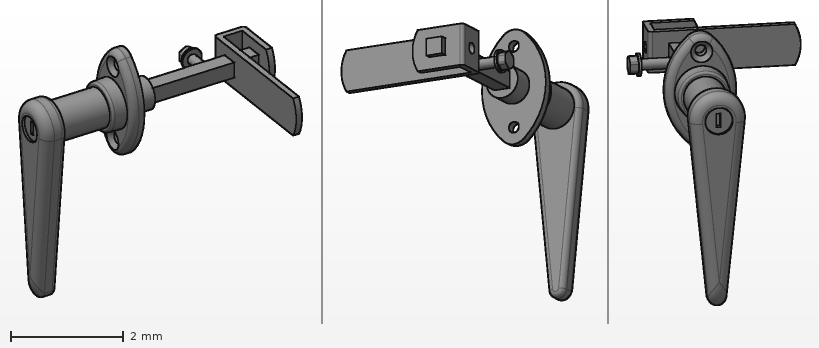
import cadquery as cq
import math


SPINDLE_SIDE = 0.3125
SPINDLE_END_Y = 2.953
SLEEVE_RADIUS = 0.316
SLEEVE_LENGTH = 0.4325

PLATE_THICKNESS = 0.2625
PLATE_EDGE_FILLET = 0.14
PLATE_HALF_WIDTH = 0.648
SCREW_HOLE_OFFSET = 0.75
PLATE_END_RADIUS = 0.3125
SCREW_HOLE_DIAMETER = 0.2
COUNTERSINK_DIAMETER = 0.39
COUNTERSINK_ANGLE = 90

COLLAR_BASE_RADIUS = 0.488
COLLAR_TIP_RADIUS = 0.472
COLLAR_LENGTH = 0.3
COLLAR_FILLET = 0.05
NECK_RADIUS = 0.3825

HANDLE_BACK_Y = -1.54
HANDLE_FRONT_Y = -2.008
HANDLE_DEPTH = HANDLE_BACK_Y - HANDLE_FRONT_Y
HUB_RADIUS = 0.503
TIP_RADIUS = 0.167
TIP_BOTTOM_Z = -3.4975
HANDLE_BACK_FILLET = 0.105
HANDLE_FRONT_FILLET = 0.2
LOCK_RECESS_RADIUS = 0.247
LOCK_RECESS_DEPTH = 0.05
KEY_SLOT_WIDTH = 0.08
KEY_SLOT_HEIGHT = 0.25
KEY_SLOT_DEPTH = 0.1

BRACKET_FRONT_Y = 2.19
BRACKET_SPAN = 0.643
BRACKET_THICKNESS = 0.125
BRACKET_HEIGHT = 0.765
BRACKET_WEB_X = -0.52
LONG_LEG_END_X = 2.234
SHORT_LEG_END_X = 0.506
LEG_END_RADIUS = 0.75
BEND_RADIUS = 0.07
WEB_HOLE_DIAMETER = 0.2

BOLT_Y = 1.872
BOLT_Z = -0.112
BOLT_HEAD_X = -0.936
BOLT_HEAD_LENGTH = 0.153
BOLT_FLANGE_LENGTH = 0.048
BOLT_FLANGE_RADIUS = 0.204
BOLT_SHANK_RADIUS = 0.1
HEX_ACROSS_FLATS = 0.304
HEX_CORNER_RADIUS = 0.05


def facing_front(y):
    """Plane across the lock axis at y: local x is X, local y is Z, extrusion goes towards -Y."""
    return cq.Workplane("XZ", origin=(0, y, 0))


def facing_right(x):
    """Plane across the bolt axis at x: local x is Y, local y is Z, extrusion goes towards +X."""
    return cq.Workplane("YZ", origin=(x, 0, 0))


def make_plate():
    inset = PLATE_HALF_WIDTH - PLATE_END_RADIUS
    centre_shift = (SCREW_HOLE_OFFSET**2 - inset**2) / (2 * inset)
    side_radius = PLATE_HALF_WIDTH + centre_shift
    reach = side_radius - PLATE_END_RADIUS
    tangent_x = PLATE_END_RADIUS * centre_shift / reach
    tangent_z = SCREW_HOLE_OFFSET + PLATE_END_RADIUS * SCREW_HOLE_OFFSET / reach
    end_z = SCREW_HOLE_OFFSET + PLATE_END_RADIUS
    plate = (
        facing_front(0)
        .moveTo(tangent_x, tangent_z)
        .threePointArc((0, end_z), (-tangent_x, tangent_z))
        .threePointArc((-PLATE_HALF_WIDTH, 0), (-tangent_x, -tangent_z))
        .threePointArc((0, -end_z), (tangent_x, -tangent_z))
        .threePointArc((PLATE_HALF_WIDTH, 0), (tangent_x, tangent_z))
        .close()
        .extrude(PLATE_THICKNESS)
        .faces("<Y")
        .edges()
        .fillet(PLATE_EDGE_FILLET)
    )
    return (
        plate.cut(countersunk_hole(SCREW_HOLE_OFFSET))
        .cut(countersunk_hole(-SCREW_HOLE_OFFSET))
    )


def countersunk_hole(z):
    hole_radius = SCREW_HOLE_DIAMETER / 2
    sink_radius = COUNTERSINK_DIAMETER / 2
    sink_depth = (sink_radius - hole_radius) / math.tan(math.radians(COUNTERSINK_ANGLE / 2))
    return (
        cq.Workplane("XY", origin=(0, 0, z))
        .polyline([
            (0, 0),
            (hole_radius, 0),
            (hole_radius, sink_depth - PLATE_THICKNESS),
            (sink_radius, -PLATE_THICKNESS),
            (0, -PLATE_THICKNESS),
        ])
        .close()
        .revolve(360, (0, 0), (0, 1))
    )


def make_collar():
    front_y = -PLATE_THICKNESS - COLLAR_LENGTH
    return (
        cq.Workplane("XY")
        .polyline([
            (0, -PLATE_THICKNESS),
            (COLLAR_BASE_RADIUS, -PLATE_THICKNESS),
            (COLLAR_TIP_RADIUS, front_y),
            (0, front_y),
        ])
        .close()
        .revolve(360, (0, 0), (0, 1))
        .faces("<Y")
        .edges()
        .fillet(COLLAR_FILLET)
    )


def make_handle():
    tip_z = TIP_BOTTOM_Z + TIP_RADIUS
    lean = math.asin((HUB_RADIUS - TIP_RADIUS) / -tip_z)
    across = math.cos(lean)
    down = math.sin(lean)
    handle = (
        facing_front(HANDLE_BACK_Y)
        .moveTo(HUB_RADIUS * across, -HUB_RADIUS * down)
        .threePointArc((0, HUB_RADIUS), (-HUB_RADIUS * across, -HUB_RADIUS * down))
        .lineTo(-TIP_RADIUS * across, tip_z - TIP_RADIUS * down)
        .threePointArc((0, TIP_BOTTOM_Z), (TIP_RADIUS * across, tip_z - TIP_RADIUS * down))
        .close()
        .extrude(HANDLE_DEPTH)
        .faces(">Y")
        .edges()
        .fillet(HANDLE_BACK_FILLET)
        .faces("<Y")
        .edges()
        .fillet(HANDLE_FRONT_FILLET)
    )
    recess_floor_y = HANDLE_FRONT_Y + LOCK_RECESS_DEPTH
    recess = facing_front(recess_floor_y).circle(LOCK_RECESS_RADIUS).extrude(LOCK_RECESS_DEPTH)
    key_slot = (
        facing_front(recess_floor_y + KEY_SLOT_DEPTH)
        .rect(KEY_SLOT_WIDTH, KEY_SLOT_HEIGHT)
        .extrude(KEY_SLOT_DEPTH)
    )
    return handle.cut(recess).cut(key_slot)


def make_lock():
    spindle = (
        facing_front(SPINDLE_END_Y)
        .rect(SPINDLE_SIDE, SPINDLE_SIDE)
        .extrude(SPINDLE_END_Y)
    )
    sleeve = facing_front(SLEEVE_LENGTH).circle(SLEEVE_RADIUS).extrude(SLEEVE_LENGTH)
    neck = (
        facing_front(-PLATE_THICKNESS)
        .circle(NECK_RADIUS)
        .extrude(-PLATE_THICKNESS - HANDLE_BACK_Y)
    )
    return (
        make_plate()
        .union(sleeve)
        .union(spindle)
        .union(make_collar())
        .union(neck)
        .union(make_handle())
    )


def bracket_leg(front_y, end_x):
    """Flat leg from the web to a convex arc end that peaks at end_x."""
    half_height = BRACKET_HEIGHT / 2
    bulge = LEG_END_RADIUS - math.sqrt(LEG_END_RADIUS**2 - half_height**2)
    return (
        facing_front(front_y + BRACKET_THICKNESS)
        .moveTo(BRACKET_WEB_X, -half_height)
        .lineTo(end_x - bulge, -half_height)
        .threePointArc((end_x, 0), (end_x - bulge, half_height))
        .lineTo(BRACKET_WEB_X, half_height)
        .close()
        .extrude(BRACKET_THICKNESS)
    )


def make_bracket():
    back_leg_y = BRACKET_FRONT_Y + BRACKET_SPAN - BRACKET_THICKNESS
    web_middle_y = BRACKET_FRONT_Y + BRACKET_SPAN / 2
    web = (
        facing_right(BRACKET_WEB_X)
        .center(web_middle_y, 0)
        .rect(BRACKET_SPAN, BRACKET_HEIGHT)
        .extrude(BRACKET_THICKNESS)
    )
    web_hole = (
        facing_right(BRACKET_WEB_X)
        .center(web_middle_y, 0)
        .circle(WEB_HOLE_DIAMETER / 2)
        .extrude(BRACKET_THICKNESS)
    )
    spindle_hole = (
        facing_front(BRACKET_FRONT_Y + BRACKET_SPAN)
        .rect(SPINDLE_SIDE, SPINDLE_SIDE)
        .extrude(BRACKET_SPAN)
    )
    return (
        web.union(bracket_leg(BRACKET_FRONT_Y, LONG_LEG_END_X))
        .union(bracket_leg(back_leg_y, SHORT_LEG_END_X))
        .faces("<X")
        .edges("|Z")
        .fillet(BEND_RADIUS)
        .cut(web_hole)
        .cut(spindle_hole)
    )


def make_bolt():
    flange_x = BOLT_HEAD_X + BOLT_HEAD_LENGTH
    shank_x = flange_x + BOLT_FLANGE_LENGTH
    shank_end_x = -SPINDLE_SIDE / 2
    head = (
        facing_right(BOLT_HEAD_X)
        .center(BOLT_Y, BOLT_Z)
        .polygon(6, HEX_ACROSS_FLATS, circumscribed=True)
        .extrude(BOLT_HEAD_LENGTH)
        .edges("|X")
        .fillet(HEX_CORNER_RADIUS)
    )
    flange = (
        facing_right(flange_x)
        .center(BOLT_Y, BOLT_Z)
        .circle(BOLT_FLANGE_RADIUS)
        .extrude(BOLT_FLANGE_LENGTH)
    )
    shank = (
        facing_right(shank_x)
        .center(BOLT_Y, BOLT_Z)
        .circle(BOLT_SHANK_RADIUS)
        .extrude(shank_end_x - shank_x)
    )
    return head.union(flange).union(shank)


lock = make_lock()
bracket = make_bracket()
bolt = make_bolt()

result = cq.Compound.makeCompound([lock.val(), bracket.val(), bolt.val()])